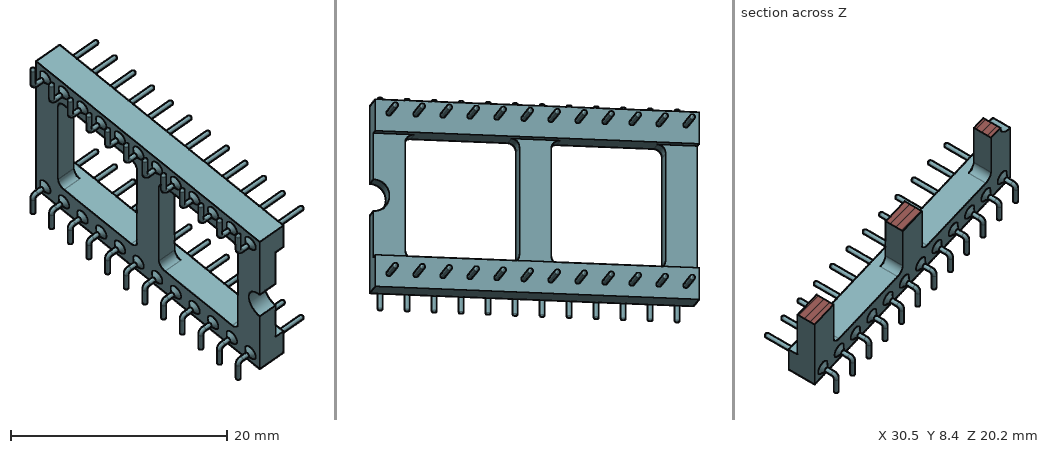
import cadquery as cq
import math

PIN_PITCH = 2.54
PINS_PER_ROW = 12
ROW_SPACING = 15.24
BODY_LENGTH = PINS_PER_ROW * PIN_PITCH
BODY_HEIGHT = ROW_SPACING + PIN_PITCH
BODY_DEPTH = 3.0

RAIL_HEIGHT = 3.0
WEB_DEPTH = 2.0
OPENING_HEIGHT = BODY_HEIGHT - 2 * RAIL_HEIGHT

WINDOW_COUNT = 2
WALL_WIDTH = 3.0
WINDOW_LENGTH = (BODY_LENGTH - (WINDOW_COUNT + 1) * WALL_WIDTH) / WINDOW_COUNT
WINDOW_CORNER_RADIUS = 0.8
NOTCH_RADIUS = 1.5

PIN_RADIUS = 0.25
TAIL_LENGTH = 3.6
TIP_ROUNDING = 0.2
FRONT_REACH = 1.8
LEG_REACH = 2.49
BEND_RADIUS = 0.4
COLLAR_RADIUS = 0.72
COLLAR_HEIGHT = 0.4


def box_through_body(length, height, y_start, y_end):
    """Box centred in X and Z that spans the given Y range."""
    return cq.Workplane("XY").box(length, y_end - y_start, height).translate((0, (y_start + y_end) / 2, 0))


def make_body():
    """Stepped frame with two rounded windows and an end notch."""
    body = box_through_body(BODY_LENGTH, BODY_HEIGHT, 0, BODY_DEPTH)
    body = body.cut(box_through_body(BODY_LENGTH, OPENING_HEIGHT, WEB_DEPTH, BODY_DEPTH))

    window = box_through_body(WINDOW_LENGTH, OPENING_HEIGHT, 0, BODY_DEPTH)
    window = window.edges("|Y").fillet(WINDOW_CORNER_RADIUS)
    for index in range(WINDOW_COUNT):
        x = (index - (WINDOW_COUNT - 1) / 2) * (WINDOW_LENGTH + WALL_WIDTH)
        body = body.cut(window.translate((x, 0, 0)))

    notch = cq.Workplane("XZ").center(BODY_LENGTH / 2, 0).circle(NOTCH_RADIUS).extrude(-BODY_DEPTH)
    return body.cut(notch)


def make_pin():
    """Pin along Y through the origin: rounded tail, conical collar, leg bent up to +Z."""
    tail_end = BODY_DEPTH + TAIL_LENGTH
    leg_y = PIN_RADIUS - FRONT_REACH
    bend_start_y = leg_y + BEND_RADIUS

    shaft = cq.Workplane("XZ", origin=(0, bend_start_y, 0)).circle(PIN_RADIUS).extrude(bend_start_y - tail_end)
    shaft = shaft.faces(">Y").edges().fillet(TIP_ROUNDING)

    mid_offset = BEND_RADIUS * (1 - math.sqrt(0.5))
    bend_path = (
        cq.Workplane("YZ")
        .moveTo(bend_start_y, 0)
        .threePointArc((leg_y + mid_offset, mid_offset), (leg_y, BEND_RADIUS))
    )
    bend = cq.Workplane("XZ", origin=(0, bend_start_y, 0)).circle(PIN_RADIUS).sweep(bend_path)

    leg = cq.Workplane("XY", origin=(0, leg_y, BEND_RADIUS)).circle(PIN_RADIUS).extrude(LEG_REACH - BEND_RADIUS)
    leg = leg.faces(">Z").edges().fillet(TIP_ROUNDING)

    collar = (
        cq.Workplane("XY")
        .lineTo(COLLAR_RADIUS, 0)
        .lineTo(PIN_RADIUS, -COLLAR_HEIGHT)
        .lineTo(0, -COLLAR_HEIGHT)
        .close()
        .revolve(360, (0, 0, 0), (0, 1, 0))
    )
    return shaft.union(bend).union(leg).union(collar)


def add_pins(body):
    """Add both rows of pins, their legs pointing away from each other."""
    upper_pin = make_pin()
    lower_pin = upper_pin.mirror("XY")
    for index in range(PINS_PER_ROW):
        x = (index - (PINS_PER_ROW - 1) / 2) * PIN_PITCH
        body = body.union(upper_pin.translate((x, 0, ROW_SPACING / 2)))
        body = body.union(lower_pin.translate((x, 0, -ROW_SPACING / 2)))
    return body


result = add_pins(make_body())